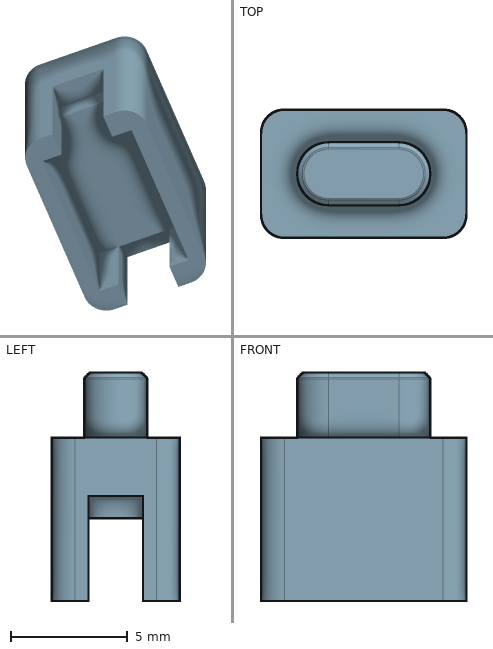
import cadquery as cq

body_length = 8.8
body_width = 5.5
body_height = 7.0
body_corner_radius = 1.0

overall_height = 9.8
stem_height = overall_height - body_height
stem_length = 5.7
stem_width = 2.7
stem_chamfer = 0.25
stem_edge_radius = 0.1

end_wall = 1.05
side_wall = 0.7
cavity_length = body_length - 2 * end_wall
cavity_width = body_width - 2 * side_wall
cavity_depth = 3.55

notch_width = 2.33
notch_height = 4.5


def make_body():
    block = cq.Workplane("XY").box(body_length, body_width, body_height, centered=(True, True, False))
    return block.edges("|Z").fillet(body_corner_radius)


def make_stem():
    """Oblong stem whose top rim is chamfered, with both chamfer edges softened."""
    base = cq.Workplane("XY").workplane(offset=body_height)
    stem = base.slot2D(stem_length, stem_width).extrude(stem_height)
    stem = stem.faces(">Z").edges().chamfer(stem_chamfer)
    chamfer_foot = overall_height - stem_chamfer
    foot_slab = cq.selectors.BoxSelector(
        (-stem_length, -stem_width, chamfer_foot - stem_edge_radius),
        (stem_length, stem_width, chamfer_foot + stem_edge_radius),
    )
    rim_and_foot = cq.StringSyntaxSelector(">Z") + foot_slab
    return stem.edges(rim_and_foot).fillet(stem_edge_radius)


def make_cavity():
    return cq.Workplane("XY").box(cavity_length, cavity_width, cavity_depth, centered=(True, True, False))


def make_notch(side):
    """Notch through the end wall on the given side of X (-1 or +1)."""
    wall_middle = side * (body_length - end_wall) / 2
    notch = cq.Workplane("XY").box(end_wall, notch_width, notch_height, centered=(True, True, False))
    return notch.translate((wall_middle, 0, 0))


result = make_body().union(make_stem()).cut(make_cavity())
for end_side in (-1, 1):
    result = result.cut(make_notch(end_side))